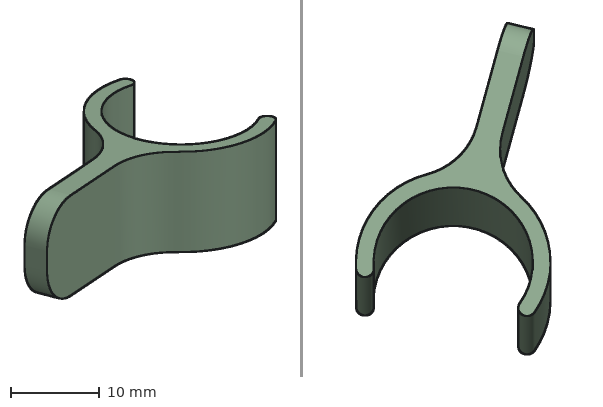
import cadquery as cq
import math

length = 35.18
height = 12.5
outer_diameter = 22.0
wall = 2.0
tip_rise = 4.25
handle_thickness = 3.03
blend_radius = 8.0
corner_radius = 5.0

outer_radius = outer_diameter / 2
inner_radius = outer_radius - wall
middle_radius = outer_radius - wall / 2
tip_radius = wall / 2
tip_angle = math.asin((tip_rise - tip_radius) / middle_radius)
handle_end = tip_rise - length
half_handle = handle_thickness / 2

blend_x = half_handle + blend_radius
blend_y = -math.sqrt((outer_radius + blend_radius) ** 2 - blend_x ** 2)
ring_touch_angle = math.atan2(blend_y, blend_x)
blend_mid_angle = (math.pi + ring_touch_angle + math.pi) / 2


def polar(radius, angle, center=(0, 0)):
    return (center[0] + radius * math.cos(angle), center[1] + radius * math.sin(angle))


def mirrored(point):
    return (-point[0], point[1])


def clip_profile():
    """Open ring with round tips, blended into a straight handle."""
    tip_outer = polar(outer_radius, tip_angle)
    tip_inner = polar(inner_radius, tip_angle)
    tip_center = polar(middle_radius, tip_angle)
    tip_top = polar(tip_radius, tip_angle + math.pi / 2, tip_center)
    ring_mid = polar(outer_radius, (tip_angle + ring_touch_angle) / 2)
    ring_touch = polar(outer_radius, ring_touch_angle)
    blend_mid = polar(blend_radius, blend_mid_angle, (blend_x, blend_y))
    handle_top = (half_handle, blend_y)
    handle_corner = (half_handle, handle_end)
    return (
        cq.Workplane("XY", origin=(0, 0, -height / 2))
        .moveTo(*handle_corner)
        .lineTo(*handle_top)
        .threePointArc(blend_mid, ring_touch)
        .threePointArc(ring_mid, tip_outer)
        .threePointArc(tip_top, tip_inner)
        .threePointArc((0, -inner_radius), mirrored(tip_inner))
        .threePointArc(mirrored(tip_top), mirrored(tip_outer))
        .threePointArc(mirrored(ring_mid), mirrored(ring_touch))
        .threePointArc(mirrored(blend_mid), mirrored(handle_top))
        .lineTo(*mirrored(handle_corner))
        .close()
    )


clip = clip_profile().extrude(height)

result = clip.faces("<Y").edges("|X").fillet(corner_radius)